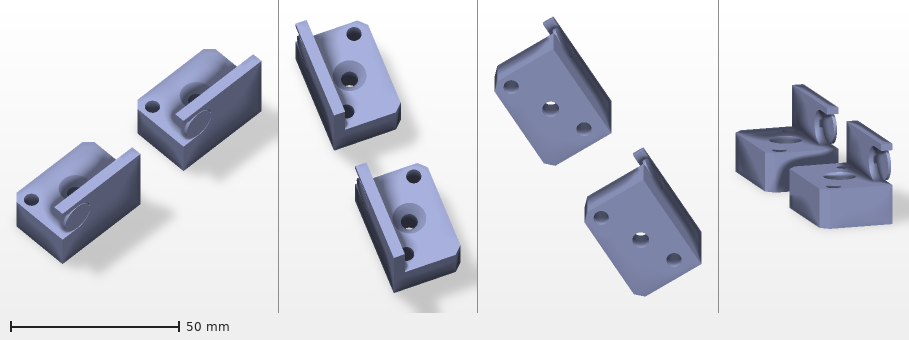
import cadquery as cq

BLOCK_WIDTH = 22.1
BLOCK_LENGTH = 32.25
BLOCK_HEIGHT = 11.9
CORNER_CHAMFER = 2.5

SCREW_DIAMETER = 5.0
COUNTERSINK_DIAMETER = 10.0
COUNTERSINK_ANGLE = 90

DOWEL_DIAMETER = 4.5
DOWEL_PITCH_X = 11.0
DOWEL_PITCH_Y = 23.0
DOWEL_MIDPOINT_X = -0.6
DOWEL_MIDPOINT_Y = -0.8

TOTAL_HEIGHT = 24.5
WALL_THICKNESS = 3.5
ARM_THICKNESS = 2.0
SLOT_HEIGHT = TOTAL_HEIGHT - BLOCK_HEIGHT - ARM_THICKNESS
SLOT_RADIUS = SLOT_HEIGHT / 2
SLOT_CENTER_INSET = 6.25

DISC_DIAMETER = 10.0
DISC_THICKNESS = 1.0
TAB_HEIGHT = 2.5

POCKET_WIDTH = 1.0
POCKET_DEPTH = 1.2

OVERALL_LENGTH = 82.25
BRACKET_PITCH = OVERALL_LENGTH - BLOCK_LENGTH

OUTER_FACE_X = BLOCK_WIDTH / 2
WALL_CENTER_X = OUTER_FACE_X - WALL_THICKNESS / 2
SLOT_CENTER_Y = SLOT_CENTER_INSET - BLOCK_LENGTH / 2
SLOT_CENTER_Z = BLOCK_HEIGHT + SLOT_RADIUS
BOTTOM_CENTERED = (True, True, False)


def make_block():
    """Base block standing on Z = 0, with its screw and dowel holes."""
    block = cq.Workplane("XY").box(BLOCK_WIDTH, BLOCK_LENGTH, BLOCK_HEIGHT, centered=BOTTOM_CENTERED)
    block = block.edges("|Z and <X").chamfer(CORNER_CHAMFER)
    block = block.faces(">Z").workplane(origin=(0, 0, BLOCK_HEIGHT))
    block = block.cskHole(SCREW_DIAMETER, COUNTERSINK_DIAMETER, COUNTERSINK_ANGLE)
    block = block.faces(">Z").workplane(origin=(DOWEL_MIDPOINT_X, DOWEL_MIDPOINT_Y, BLOCK_HEIGHT))
    dowel_places = [(side * DOWEL_PITCH_X / 2, side * DOWEL_PITCH_Y / 2) for side in (-1, 1)]
    return block.pushPoints(dowel_places).hole(DOWEL_DIAMETER)


def disc_along_x(diameter, thickness):
    """Disc on the slot axis, its outer face flush with the +X side."""
    plane = cq.Workplane("YZ", origin=(OUTER_FACE_X, SLOT_CENTER_Y, SLOT_CENTER_Z))
    return plane.circle(diameter / 2).extrude(-thickness)


def make_wall():
    """Upright wall with the round-ended slot cut through its thickness."""
    wall = (
        cq.Workplane("XY", origin=(WALL_CENTER_X, 0, BLOCK_HEIGHT))
        .box(WALL_THICKNESS, BLOCK_LENGTH, TOTAL_HEIGHT - BLOCK_HEIGHT, centered=BOTTOM_CENTERED)
    )
    slot_mouth = (
        cq.Workplane("XY", origin=(WALL_CENTER_X, SLOT_CENTER_Y - SLOT_CENTER_INSET / 2, SLOT_CENTER_Z))
        .box(WALL_THICKNESS, SLOT_CENTER_INSET, SLOT_HEIGHT)
    )
    return wall.cut(slot_mouth).cut(disc_along_x(SLOT_HEIGHT, WALL_THICKNESS))


def box_from_slot_axis(outer_x, width, length):
    """Box of tab height reaching from the slot axis towards +Y, its +X face at outer_x."""
    return (
        cq.Workplane("XY", origin=(outer_x - width / 2, SLOT_CENTER_Y + length / 2, SLOT_CENTER_Z))
        .box(width, length, TAB_HEIGHT)
    )


def make_disc():
    """Disc with a tab that bridges the gap between its rim and the slot wall."""
    disc = disc_along_x(DISC_DIAMETER, DISC_THICKNESS)
    return disc.union(box_from_slot_axis(OUTER_FACE_X, DISC_THICKNESS, SLOT_RADIUS))


def make_pocket():
    """Cutter for the pocket next to the -X face of the tab."""
    return box_from_slot_axis(OUTER_FACE_X - DISC_THICKNESS, POCKET_WIDTH, SLOT_RADIUS + POCKET_DEPTH)


def make_bracket():
    """One bracket: block, wall and disc in a single solid."""
    wall = make_wall().cut(make_pocket())
    return make_block().union(wall).union(make_disc())


bracket = make_bracket()
brackets = []
for end in (-1, 1):
    placed = bracket.translate((0, end * BRACKET_PITCH / 2, 0))
    brackets.append(placed.val())

result = cq.Compound.makeCompound(brackets)